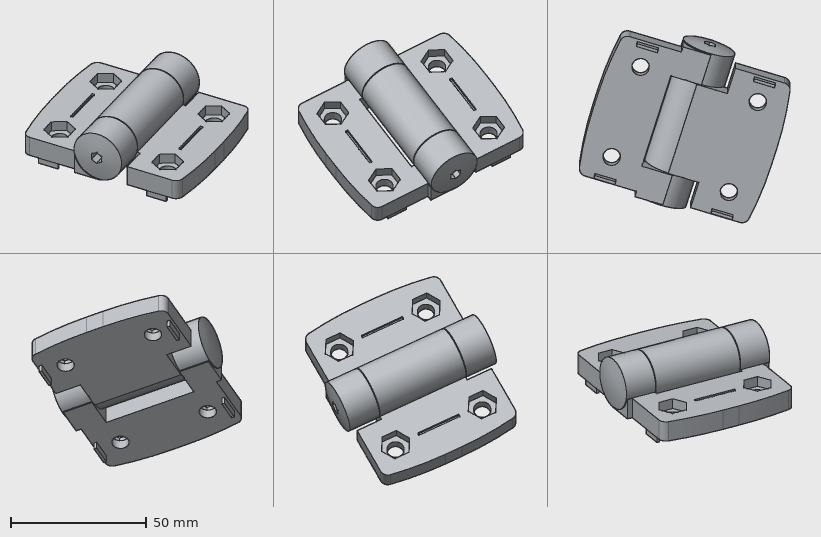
import cadquery as cq
import math


barrel_radius = 10.0
barrel_half_length = 30.45
cap_height = 1.05
joint_half_width = 17.95
joint_gap = 0.3
pin_radius = 5.0
socket_flats = 4.15
socket_depth = 5.0

leaf_half_span = 34.65
leaf_half_length = 27.95
leaf_thickness = 8.05
flat_half_length = 3.4
side_arc_radius = 133.8
corner_radius = 3.0
barrel_side_clearance = 1.0
underside_drop = 0.5

end_web_half_length = 30.0
web_overlap = 0.8

hole_x = 22.7
hole_y = 18
hole_diameter = 6.4
nut_flats = 10.1
nut_depth = 4.0

slot_width = 1.05
slot_length = 17.0
slot_depth = 1.0
slot_corner_radius = 0.1
tab_length = 8.1
tab_width = 1.1
tab_height = 3.05
tab_y = 26.4

margin = 0.7

leaf_bottom = -barrel_radius - underside_drop
leaf_top = leaf_bottom + leaf_thickness
leaf_inner_x = barrel_radius + barrel_side_clearance
end_knuckle_start = joint_half_width + joint_gap / 2
center_knuckle_end = joint_half_width - joint_gap / 2


def box(x_range, y_range, z_range):
    """Box filling the given (low, high) range on each axis."""
    sizes = [high - low for low, high in (x_range, y_range, z_range)]
    corner = (x_range[0], y_range[0], z_range[0])
    return cq.Workplane("XY").box(*sizes, centered=False).translate(corner)


def hexagon_diameter(flats):
    """Corner-to-corner diameter of a hexagon with the given width across flats."""
    return flats / math.cos(math.pi / 6)


def side_drop(y):
    """How far the bowed outer side falls back from its flat middle at distance y."""
    rise = y - flat_half_length
    return side_arc_radius - math.sqrt(side_arc_radius**2 - rise**2)


def leaf_plate(side):
    """Plate from the pin axis to the bowed outer edge; side is -1 (left) or 1 (right)."""
    flat_x = side * leaf_half_span
    corner_x = side * (leaf_half_span - side_drop(leaf_half_length))
    mid_y = (flat_half_length + leaf_half_length) / 2
    mid_x = side * (leaf_half_span - side_drop(mid_y))
    plate = (
        cq.Workplane("XY", origin=(0, 0, leaf_bottom))
        .moveTo(0, -leaf_half_length)
        .lineTo(corner_x, -leaf_half_length)
        .threePointArc((mid_x, -mid_y), (flat_x, -flat_half_length))
        .lineTo(flat_x, flat_half_length)
        .threePointArc((mid_x, mid_y), (corner_x, leaf_half_length))
        .lineTo(0, leaf_half_length)
        .close()
        .extrude(leaf_thickness)
    )
    outer_corners = cq.selectors.BoxSelector(
        (corner_x - margin, -leaf_half_length - margin, leaf_bottom - margin),
        (corner_x + margin, leaf_half_length + margin, leaf_top + margin),
    )
    return plate.edges("|Z").edges(outer_corners).fillet(corner_radius)


def left_leaf():
    """Left leaf: open beside the center knuckle, carried by the two end knuckles."""
    z_range = (leaf_bottom, leaf_top)
    window = box((-leaf_inner_x, 0), (-end_knuckle_start, end_knuckle_start), z_range)
    web_y_range = (-end_web_half_length, -end_knuckle_start)
    web = box((-barrel_radius, web_overlap), web_y_range, z_range)
    return leaf_plate(-1).cut(window).union(web).union(web.mirror("XZ"))


def right_leaf():
    """Right leaf: notched beside the end knuckles, carried by the center knuckle."""
    z_range = (leaf_bottom, leaf_top)
    notch = box((0, leaf_inner_x), (-leaf_half_length, -center_knuckle_end), z_range)
    web = box((-web_overlap, barrel_radius), (-center_knuckle_end, center_knuckle_end), z_range)
    return leaf_plate(1).cut(notch).cut(notch.mirror("XZ")).union(web)


def barrel():
    """Pin and three knuckles with domed ends, revolved about the Y axis."""
    tip = barrel_half_length + cap_height
    dome_radius = (barrel_radius**2 + cap_height**2) / (2 * cap_height)
    mid_radius = barrel_radius / 2
    mid_y = tip - dome_radius + math.sqrt(dome_radius**2 - mid_radius**2)
    solid = (
        cq.Workplane("XY")
        .moveTo(0, -tip)
        .threePointArc((mid_radius, -mid_y), (barrel_radius, -barrel_half_length))
        .lineTo(barrel_radius, barrel_half_length)
        .threePointArc((mid_radius, mid_y), (0, tip))
        .close()
        .revolve(360, (0, 0), (0, 1))
    )
    for joint_y in (-joint_half_width, joint_half_width):
        groove = (
            cq.Workplane("XZ", origin=(0, joint_y + joint_gap / 2, 0))
            .circle(barrel_radius + margin)
            .circle(pin_radius)
            .extrude(joint_gap)
        )
        solid = solid.cut(groove)
    return solid


def hex_socket():
    """Hexagonal key socket in the front end of the pin, corners up and down."""
    return (
        cq.Workplane("XZ", origin=(0, socket_depth - barrel_half_length - cap_height, 0))
        .transformed(rotate=(0, 0, 90))
        .polygon(6, hexagon_diameter(socket_flats))
        .extrude(socket_depth)
    )


hole_points = [(x, y) for x in (-hole_x, hole_x) for y in (-hole_y, hole_y)]
slot_points = [(-hole_x, 0), (hole_x, 0)]
tab_points = [(x, y) for x in (-hole_x, hole_x) for y in (-tab_y, tab_y)]

holes = (
    cq.Workplane("XY", origin=(0, 0, leaf_bottom))
    .pushPoints(hole_points)
    .circle(hole_diameter / 2)
    .extrude(leaf_thickness)
)
nut_hexagon = (
    cq.Workplane("XY", origin=(0, 0, leaf_top - nut_depth))
    .polygon(6, hexagon_diameter(nut_flats))
    .extrude(nut_depth)
    .rotate((0, 0, 0), (0, 0, 1), 90)
)
slots = (
    cq.Workplane("XY", origin=(0, 0, leaf_top - slot_depth))
    .pushPoints(slot_points)
    .rect(slot_width, slot_length)
    .extrude(slot_depth)
    .edges("|Z")
    .fillet(slot_corner_radius)
)
tabs = (
    cq.Workplane("XY", origin=(0, 0, leaf_bottom - tab_height))
    .pushPoints(tab_points)
    .rect(tab_length, tab_width)
    .extrude(tab_height)
)

result = barrel().union(left_leaf()).union(right_leaf()).union(tabs)
result = result.cut(hex_socket()).cut(holes).cut(slots)
for x, y in hole_points:
    result = result.cut(nut_hexagon.translate((x, y, 0)))